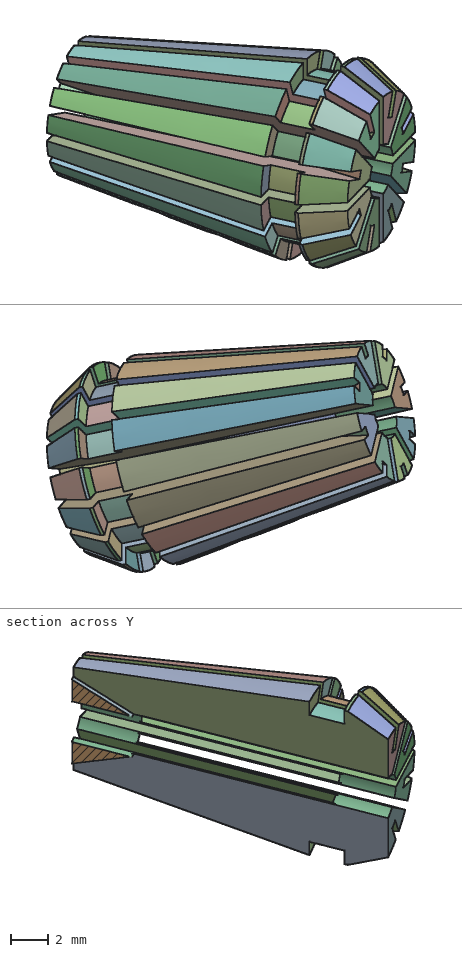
import cadquery as cq
import math

LENGTH = 18.0
MAX_RADIUS = 11.5 / 2
BORE_RADIUS = 3.0 / 2

TAPER_LENGTH = 13.5
TAPER_ANGLE = 8.0

NECK_RADIUS = 9.5 / 2
NECK_LENGTH = 2.0
LAND_LENGTH = 0.2
HEAD_ANGLE = 30.0

SLOT_WIDTH = 0.5
SLOTS_PER_SET = 8
SLOT_PITCH = 360.0 / SLOTS_PER_SET

FRONT_WEB_RADIUS = 3.16
FRONT_WEB_LENGTH = 3.45
BACK_WEB_RADIUS = 2.98
BACK_WEB_LENGTH = 3.2


def revolve_about_x(points):
    """Revolve a closed (x, radius) outline about the X axis."""
    outline = cq.Workplane("XY").polyline(points).close()
    return outline.revolve(360, (0, 0, 0), (1, 0, 0))


def make_body():
    """Bored collet blank before slitting."""
    small_radius = MAX_RADIUS - TAPER_LENGTH * math.tan(math.radians(TAPER_ANGLE))
    head_start = TAPER_LENGTH + NECK_LENGTH
    head_taper_start = head_start + LAND_LENGTH
    head_taper_length = LENGTH - head_taper_start
    head_end_radius = MAX_RADIUS - head_taper_length * math.tan(math.radians(HEAD_ANGLE))
    return revolve_about_x([
        (0, BORE_RADIUS),
        (0, small_radius),
        (TAPER_LENGTH, MAX_RADIUS),
        (TAPER_LENGTH, NECK_RADIUS),
        (head_start, NECK_RADIUS),
        (head_start, MAX_RADIUS),
        (head_taper_start, MAX_RADIUS),
        (LENGTH, head_end_radius),
        (LENGTH, BORE_RADIUS),
    ])


def make_web(end_x, inner_x, end_radius):
    """Conical ring that widens from the bore at inner_x to end_radius at end_x."""
    return revolve_about_x([
        (inner_x, BORE_RADIUS),
        (end_x, BORE_RADIUS),
        (end_x, end_radius),
    ])


def make_slots(first_angle, web):
    """Full-length radial slots, evenly spaced, with their floor on the given web."""
    blade = cq.Workplane("XY").box(LENGTH, SLOT_WIDTH, MAX_RADIUS, centered=(False, True, False))
    slots = cq.Workplane("XY")
    for index in range(SLOTS_PER_SET):
        angle = first_angle + index * SLOT_PITCH
        slots = slots.add(blade.rotate((0, 0, 0), (1, 0, 0), angle))
    return slots.combine().cut(web)


front_web = make_web(0, FRONT_WEB_LENGTH, FRONT_WEB_RADIUS)
back_web = make_web(LENGTH, LENGTH - BACK_WEB_LENGTH, BACK_WEB_RADIUS)

head_slots = make_slots(0, front_web)
small_end_slots = make_slots(SLOT_PITCH / 2, back_web)

result = make_body().cut(head_slots).cut(small_end_slots)